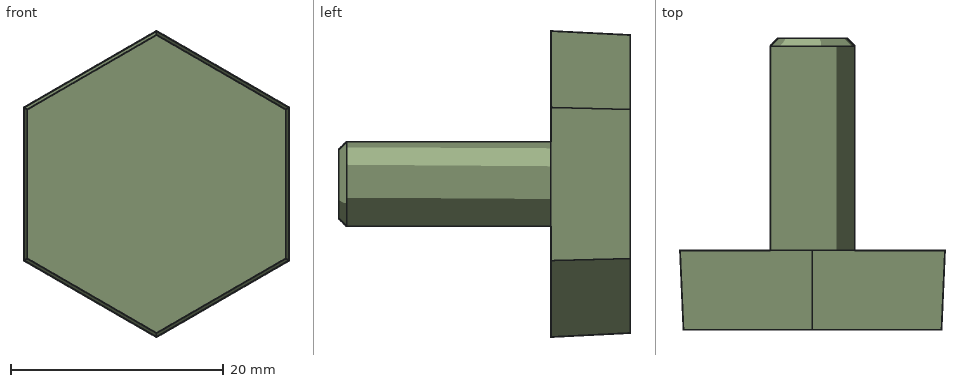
import cadquery as cq
import math

head_across_corners = 28.87
head_thickness = 7.5
head_taper_angle = 2.5

shank_diameter = 8.0
shank_length = 20.0
tip_chamfer = 0.75

overall_length = head_thickness + shank_length
seat_y = overall_length / 2 - shank_length


def make_head():
    """Tapered hexagon with two corners on the Z axis."""
    corner_radius = head_across_corners / 2
    corners = []
    for i in range(6):
        angle = math.radians(90 + 60 * i)
        corners.append((corner_radius * math.cos(angle), corner_radius * math.sin(angle)))
    return (
        cq.Workplane("XZ", origin=(0, seat_y, 0))
        .polyline(corners)
        .close()
        .extrude(head_thickness, taper=head_taper_angle)
    )


def make_shank():
    """Cylinder with a chamfered tip."""
    return (
        cq.Workplane("XZ", origin=(0, seat_y, 0))
        .circle(shank_diameter / 2)
        .extrude(-shank_length)
        .faces(">Y")
        .chamfer(tip_chamfer)
    )


result = make_head().union(make_shank())